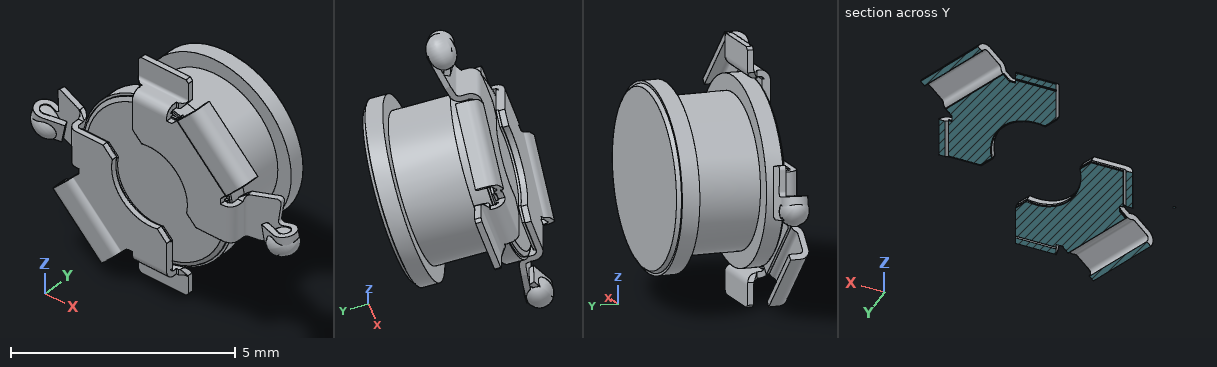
import math

import cadquery as cq


flange_radius = 2.19
winding_radius = 1.8
rim_step_radius = 2.13
lower_face_radius = 2.02
upper_face_radius = 2.07
core_bottom = 0.32
core_top = 2.924
rim_height = 0.095
rim_cone_height = 0.05
flange_thickness = 0.415

sheet = 0.15
plate_bottom = 0.11
plate_mid = plate_bottom + sheet / 2
neck_half_width = 0.5
neck_start = 2.14
lower_bend_radius = 0.1
upper_bend_radius = 0.09

inner_arc_radius = 1.1
inner_chamfer_start = 1.35
relief_depth = 0.08
relief_fillet = 0.065
glue_shift = 0.04

foot_half_width = 1.0
foot_reach = 3.0
foot_height = 0.495
foot_step_radius = 0.035
foot_step_centreline = foot_step_radius + lower_bend_radius + sheet
foot_step_angle = math.degrees(math.acos(1 - plate_bottom / foot_step_centreline))
foot_flat = 0.4
foot_lip_start = foot_reach - lower_bend_radius - sheet
foot_step_length = foot_step_centreline * math.sin(math.radians(foot_step_angle))
foot_start = foot_lip_start - foot_flat - foot_step_length

tab_reach = 3.0
tab_half_width = 0.725
tab_rise = 0.145
tab_corner = 0.07
tab_neck_top = 0.45
tab_shoulder_half_width = 0.56
tab_taper_top = 0.58
tab_taper_start = 2.2
tab_taper_end = 2.41

tail_rise = 0.16
tail_slope = 10.0
horn_root = 0.67
tail_neck_top = 0.5
tail_taper_top = 0.62
tail_taper_start = 2.2
tail_taper_end = 2.44
horn_tip_along = 0.80
horn_tip_across = 1.23
horn_notch_along = 0.59
horn_corner_fillet = 0.09
horn_notch_fillet = 0.08
hook_width = 0.53
hook_inner_radius = 0.15
hook_start = 0.855
hook_turn = 212.0
hook_end_length = 0.55
hook_corner_start = 0.75
hook_corner_height = 0.32
solder_half_length = 0.42
solder_radius = 0.335
solder_setback = 0.09
solder_width_position = 0.195
solder_tilt = 20.0

right_tail_pivot, right_tail_swing = 2.70, 9.0
left_tail_pivot, left_tail_swing = 2.69, 13.0

lower_bend_centreline = lower_bend_radius + sheet / 2
cutter_span = 4.0


def unit(angle):
    """Unit vector at an angle in degrees."""
    return math.cos(math.radians(angle)), math.sin(math.radians(angle))


def line(length):
    """A straight run of the sheet."""
    return length, 0.0, 0.0


def bend(angle, inner_radius):
    """A bend of the sheet; positive angles turn counter-clockwise."""
    return 0.0, angle, inner_radius + sheet / 2


def bent_sheet(plane, start, steps):
    """Closed sketch of a sheet that leaves start along local X and follows lines and bends."""
    (x, y), heading = start, 0.0

    def sides(px, py, angle):
        dx, dy = unit(angle + 90)
        half = sheet / 2
        return (px + half * dx, py + half * dy), (px - half * dx, py - half * dy)

    start_left, start_right = sides(x, y, heading)
    stations = [(None, None, start_left, start_right)]
    for length, angle, radius in steps:
        if angle:
            turn = math.copysign(1, angle)
            dx, dy = unit(heading + 90 * turn)
            centre_x, centre_y = x + radius * dx, y + radius * dy
            dx, dy = unit(heading + angle / 2 - 90 * turn)
            middle = sides(centre_x + radius * dx, centre_y + radius * dy, heading + angle / 2)
            heading += angle
            dx, dy = unit(heading - 90 * turn)
            x, y = centre_x + radius * dx, centre_y + radius * dy
        else:
            middle = (None, None)
            dx, dy = unit(heading)
            x, y = x + length * dx, y + length * dy
        stations.append(middle + sides(x, y, heading))

    sketch = cq.Workplane(plane).moveTo(*start_left)
    for left_middle, _, left, _ in stations[1:]:
        sketch = sketch.threePointArc(left_middle, left) if left_middle else sketch.lineTo(*left)
    sketch = sketch.lineTo(*stations[-1][3])
    for index in range(len(stations) - 1, 0, -1):
        right_middle = stations[index][1]
        right = stations[index - 1][3]
        sketch = sketch.threePointArc(right_middle, right) if right_middle else sketch.lineTo(*right)
    return sketch.close()


def outward_plane(x, z):
    """Plane through the core axis whose local X points outwards along (x, z) and local Y along +Y."""
    return cq.Plane((0, 0, 0), xDir=(x, 0, z), normal=(-z, 0, x))


def flat_plane(height):
    """Plane at Y = height with local X along +X and local Y along +Z; extrusion goes towards -Y."""
    return cq.Plane((0, height, 0), xDir=(1, 0, 0), normal=(0, -1, 0))


def drum_core():
    """Spool with two flanges; both outer rims step in and taper towards the end faces."""
    lower_flange = core_bottom + rim_height
    upper_flange = core_top - rim_height
    profile = [
        (0, core_bottom),
        (lower_face_radius, core_bottom),
        (rim_step_radius, core_bottom + rim_cone_height),
        (rim_step_radius, lower_flange),
        (flange_radius, lower_flange),
        (flange_radius, lower_flange + flange_thickness),
        (winding_radius, lower_flange + flange_thickness),
        (winding_radius, upper_flange - flange_thickness),
        (flange_radius, upper_flange - flange_thickness),
        (flange_radius, upper_flange),
        (rim_step_radius, upper_flange),
        (upper_face_radius, core_top),
        (0, core_top),
    ]
    return cq.Workplane("XY").polyline(profile).close().revolve(360, (0, 0), (0, 1))


def plate_layer(top, thickness):
    """Flat layer with the plate outline, symmetric about the X = Z diagonal."""
    arc_sum = inner_chamfer_start - neck_half_width
    arc_difference = math.sqrt(2 * inner_arc_radius**2 - arc_sum**2)
    arc_near, arc_far = (arc_sum - arc_difference) / 2, (arc_sum + arc_difference) / 2
    arc_middle = inner_arc_radius / math.sqrt(2)
    notch_floor = neck_start - relief_depth
    foot_near = (foot_start - foot_half_width) / math.sqrt(2)
    foot_far = (foot_start + foot_half_width) / math.sqrt(2)
    notch_corner = notch_floor - (foot_far - foot_near)
    half_outline = [
        (-neck_half_width, inner_chamfer_start),
        (-neck_half_width, neck_start),
        (neck_half_width, neck_start),
        (neck_half_width, notch_floor),
        (notch_corner, notch_floor),
        (foot_near, foot_far),
    ]
    outline = half_outline + [(z, x) for x, z in reversed(half_outline)]
    plate = (
        cq.Workplane(flat_plane(top))
        .moveTo(arc_near, arc_far)
        .polyline(outline, includeCurrent=True)
        .lineTo(arc_far, arc_near)
        .threePointArc((arc_middle, arc_middle), (arc_near, arc_far))
        .close()
        .extrude(thickness)
    )
    for x, z in ((notch_corner, notch_floor), (notch_floor, notch_corner)):
        near_corner = cq.selectors.NearestToPointSelector((x, top, z))
        plate = plate.edges("|Y").edges(near_corner).fillet(relief_fillet)
    return plate


def terminal_plate():
    """Sheet plate with the slightly shifted glue layer that holds it to the core."""
    plate_top = plate_bottom + sheet
    glue = plate_layer(core_bottom, core_bottom - plate_top).translate((0, 0, glue_shift))
    return plate_layer(plate_top, sheet).union(glue)


def soldering_foot():
    """Foot that steps down to the soldering plane, runs flat and ends in an upturned lip."""
    steps = [
        bend(-foot_step_angle, foot_step_radius),
        bend(foot_step_angle, lower_bend_radius),
        line(foot_flat),
        bend(90, lower_bend_radius),
        line(foot_height - lower_bend_radius - sheet),
    ]
    profile = bent_sheet(outward_plane(math.sqrt(0.5), math.sqrt(0.5)), (foot_start, plate_mid), steps)
    return profile.extrude(foot_half_width, both=True)


def holding_tab():
    """Z-bent tab whose narrow neck widens into a rectangular head."""
    head_start = neck_start + lower_bend_radius + sheet + upper_bend_radius
    steps = [
        bend(90, lower_bend_radius),
        line(tab_rise),
        bend(-90, upper_bend_radius),
        line(tab_reach - head_start),
    ]
    profile = bent_sheet(outward_plane(0, 1), (neck_start, plate_mid), steps)
    tab = profile.extrude(tab_half_width, both=True)
    tab = tab.faces(">Z").edges("|Y").chamfer(tab_corner)
    for side in (-1, 1):
        beside_neck = [
            (side * neck_half_width, 0),
            (side * neck_half_width, tab_neck_top),
            (side * tab_shoulder_half_width, tab_neck_top),
            (side * tab_half_width, tab_taper_top),
            (side * cutter_span, tab_taper_top),
            (side * cutter_span, 0),
        ]
        tab = tab.cut(cq.Workplane("XY").polyline(beside_neck).close().extrude(cutter_span))
        beside_shoulder = [
            (side * tab_shoulder_half_width, 0),
            (side * tab_shoulder_half_width, tab_taper_start),
            (side * tab_half_width, tab_taper_end),
            (side * cutter_span, tab_taper_end),
            (side * cutter_span, 0),
        ]
        shoulder_sketch = cq.Workplane(flat_plane(cutter_span)).polyline(beside_shoulder).close()
        tab = tab.cut(shoulder_sketch.extrude(cutter_span))
    return tab


def tail_root():
    """Neck of the tail, bent up and then outwards, widening towards +Z into the horn."""
    steps = [
        bend(90, lower_bend_radius),
        line(tail_rise),
        bend(tail_slope - 90, upper_bend_radius),
    ]
    profile = bent_sheet(outward_plane(1, 0), (neck_start, plate_mid), steps)
    root = profile.extrude(horn_root + neck_half_width).translate((0, 0, -neck_half_width))
    beside_neck = [
        (0, neck_half_width),
        (tail_neck_top, neck_half_width),
        (tail_taper_top, horn_root),
        (tail_taper_top, cutter_span),
        (0, cutter_span),
    ]
    root = root.cut(cq.Workplane("YZ").polyline(beside_neck).close().extrude(cutter_span))
    beside_taper = [
        (0, neck_half_width),
        (tail_taper_start, neck_half_width),
        (tail_taper_end, horn_root),
        (tail_taper_end, cutter_span),
        (0, cutter_span),
    ]
    return root.cut(cq.Workplane(flat_plane(cutter_span)).polyline(beside_taper).close().extrude(cutter_span))


def wire_tail(pivot_x, swing):
    """Tail along +X: bent root, sloping horn plate, curled hook and the solder blob in the hook."""
    slope_x, slope_y = unit(tail_slope)
    swing_cos, swing_sin = unit(swing)
    upper_centreline = upper_bend_radius + sheet / 2
    arm_x = neck_start + lower_bend_centreline + upper_centreline * (1 - slope_y)
    arm_y = plate_mid + lower_bend_centreline + tail_rise + upper_centreline * slope_x
    pivot_distance = (pivot_x - arm_x) / slope_x
    pivot_y = arm_y + pivot_distance * slope_y
    along = (slope_x, slope_y, 0)
    downwards = cq.Vector(slope_y, -slope_x, 0)

    def swung(u, v):
        """Point of the sloping plane, u along the swung tail and v across it from the pivot."""
        across = swing_sin * u + swing_cos * v - neck_half_width
        return pivot_distance + swing_cos * u - swing_sin * v, across

    horn_tip = swung(horn_tip_along, horn_tip_across)
    horn_notch = swung(horn_notch_along, hook_width)
    arm_outline = [
        (0, -neck_half_width),
        (pivot_distance, -neck_half_width),
        swung(hook_start, 0),
        swung(hook_start, hook_width),
        horn_notch,
        horn_tip,
        (0, horn_root),
    ]
    arm_plane = cq.Plane((arm_x, arm_y, 0), xDir=along, normal=downwards)
    arm = cq.Workplane(arm_plane).polyline(arm_outline).close().extrude(sheet / 2, both=True)
    for corner, radius in ((horn_tip, horn_corner_fillet), (horn_notch, horn_notch_fillet)):
        near_corner = cq.selectors.NearestToPointSelector(arm_plane.toWorldCoords(corner).toTuple())
        arm = arm.edges(cq.selectors.ParallelDirSelector(downwards)).edges(near_corner).fillet(radius)

    swung_along = cq.Vector(swing_cos * slope_x, swing_cos * slope_y, swing_sin)
    hook_axis = swung_along.cross(downwards * -1)
    pivot = (pivot_x, pivot_y, -neck_half_width)
    hook_plane = cq.Plane(pivot, xDir=swung_along, normal=hook_axis)
    hook_steps = [bend(-hook_turn, hook_inner_radius), line(hook_end_length)]
    hook = bent_sheet(hook_plane, (hook_start, 0), hook_steps).extrude(hook_width)
    hook_reach = hook_start + hook_inner_radius + sheet
    lower_corner = [
        (hook_corner_start, 0),
        (hook_reach, 0),
        (hook_reach, hook_corner_height),
    ]
    corner_plane = cq.Plane(pivot, xDir=swung_along, normal=downwards)
    corner_cutter = cq.Workplane(corner_plane).polyline(lower_corner).close().extrude(cutter_span, both=True)
    hook = hook.cut(corner_cutter)

    hook_depth = hook_inner_radius + sheet / 2
    solder_centre = hook_plane.toWorldCoords(
        (hook_start - solder_setback, -hook_depth, solder_width_position)
    )
    solder_plane = cq.Plane(solder_centre, xDir=swung_along, normal=hook_axis).rotated((0, -solder_tilt, 0))
    solder = (
        cq.Workplane(solder_plane)
        .moveTo(solder_half_length, 0)
        .ellipseArc(solder_half_length, solder_radius, 0, 180, startAtCurrent=True)
        .close()
        .revolve(360, (0, 0), (1, 0))
    )
    return tail_root().union(arm).union(hook).union(solder)


terminal = terminal_plate().union(soldering_foot()).union(holding_tab())
opposite_terminal = terminal.rotate((0, 0, 0), (0, 1, 0), 180)
right_tail = wire_tail(right_tail_pivot, right_tail_swing)
left_tail = wire_tail(left_tail_pivot, left_tail_swing).mirror("YZ")

result = drum_core()
for piece in (terminal, opposite_terminal, right_tail, left_tail):
    result = result.union(piece)